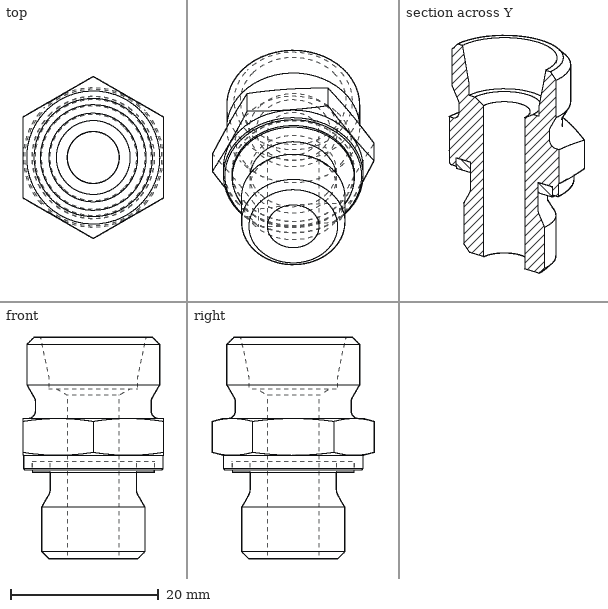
import cadquery as cq
import math

total_height = 30.0
shoulder_z = 12.0
hex_bottom_z = 14.0
hex_top_z = 19.0

stud_d = 14.0
stud_neck_d = 11.7
stud_chamfer = 1.0
stud_thread_top_z = 7.0
stud_neck_round = 1.5

port_d = 18.0
port_neck_d = 15.7
port_chamfer = 1.0
port_thread_bottom_z = 23.55
port_neck_round = 1.0
hex_fillet = 1.0
runout_angle = math.radians(30)

hex_across_flats = 19.0
hex_sides = 6
collar_d = 18.9
collar_chamfer = 0.2
hex_chamfer_angle = math.radians(15)

bore_d = 7.0
countersink_d = 10.0
socket_d = 12.0
socket_mouth_d = 14.3
socket_depth = 7.0
socket_cone_angle = math.radians(12)
countersink_half_angle = math.radians(60)

seal_d = 16.5
seal_seat_d = 16.6
seal_thickness = 1.5
seal_bottom_z = 11.7
seal_top_z = seal_bottom_z + seal_thickness


def tube(outer_d, inner_d, bottom_z, top_z):
    """Plain ring between two heights."""
    return (
        cq.Workplane("XY", origin=(0, 0, bottom_z))
        .circle(outer_d / 2)
        .circle(inner_d / 2)
        .extrude(top_z - bottom_z)
    )


def revolve_profile(profile):
    """Turn a closed profile, drawn as (radius, Z), about the Z axis."""
    return profile.close().revolve(360, (0, 0, 0), (0, 1, 0))


def runout_round(neck_r, corner_z, radius, direction):
    """Start, middle and end of the arc that blends a thread run-out cone into its neck.

    corner_z is where the cone would meet the neck; direction is +1 when the
    neck lies above the cone and -1 when it lies below.
    The arc is listed from the cone to the neck.
    """
    tangent_length = radius * math.tan(runout_angle / 2)
    center_r = neck_r + radius
    neck_z = corner_z + direction * tangent_length

    def arc_point(angle):
        return (
            center_r - radius * math.cos(angle),
            neck_z - direction * radius * math.sin(angle),
        )

    return arc_point(runout_angle), arc_point(runout_angle / 2), arc_point(0)


def turned_outline():
    """Stud, collar, hexagon core and tube-side thread as one turned solid."""
    stud_r = stud_d / 2
    stud_neck_r = stud_neck_d / 2
    port_r = port_d / 2
    port_neck_r = port_neck_d / 2
    collar_r = collar_d / 2

    stud_corner_z = stud_thread_top_z + (stud_r - stud_neck_r) / math.tan(runout_angle)
    port_corner_z = port_thread_bottom_z - (port_r - port_neck_r) / math.tan(runout_angle)
    stud_cone_end, stud_arc_mid, stud_neck_start = runout_round(
        stud_neck_r, stud_corner_z, stud_neck_round, 1
    )
    port_cone_end, port_arc_mid, port_neck_end = runout_round(
        port_neck_r, port_corner_z, port_neck_round, -1
    )
    fillet_mid_offset = hex_fillet * (1 - math.sqrt(0.5))

    profile = (
        cq.Workplane("XZ")
        .moveTo(0, 0)
        .lineTo(stud_r - stud_chamfer, 0)
        .lineTo(stud_r, stud_chamfer)
        .lineTo(stud_r, stud_thread_top_z)
        .lineTo(*stud_cone_end)
        .threePointArc(stud_arc_mid, stud_neck_start)
        .lineTo(stud_neck_r, shoulder_z)
        .lineTo(collar_r - collar_chamfer, shoulder_z)
        .lineTo(collar_r, shoulder_z + collar_chamfer)
        .lineTo(collar_r, hex_top_z)
        .lineTo(port_neck_r + hex_fillet, hex_top_z)
        .threePointArc(
            (port_neck_r + fillet_mid_offset, hex_top_z + fillet_mid_offset),
            (port_neck_r, hex_top_z + hex_fillet),
        )
        .lineTo(*port_neck_end)
        .threePointArc(port_arc_mid, port_cone_end)
        .lineTo(port_r, port_thread_bottom_z)
        .lineTo(port_r, total_height - port_chamfer)
        .lineTo(port_r - port_chamfer, total_height)
        .lineTo(0, total_height)
    )
    return revolve_profile(profile)


def chamfered_hexagon():
    """Hexagon with flats facing X, its corners turned off conically at both ends."""
    half_side_angle = 180 / hex_sides
    corner_r = hex_across_flats / 2 / math.cos(math.radians(half_side_angle))
    corner_drop = (corner_r - collar_d / 2) * math.tan(hex_chamfer_angle)
    prism = (
        cq.Workplane("XY", origin=(0, 0, hex_bottom_z))
        .polygon(hex_sides, 2 * corner_r)
        .extrude(hex_top_z - hex_bottom_z)
        .rotate((0, 0, 0), (0, 0, 1), half_side_angle)
    )
    envelope = revolve_profile(
        cq.Workplane("XZ")
        .moveTo(0, hex_bottom_z)
        .lineTo(collar_d / 2, hex_bottom_z)
        .lineTo(corner_r, hex_bottom_z + corner_drop)
        .lineTo(corner_r, hex_top_z - corner_drop)
        .lineTo(collar_d / 2, hex_top_z)
        .lineTo(0, hex_top_z)
    )
    return prism.intersect(envelope)


def bore_and_socket():
    """Through bore, countersink and tube socket with its tapered mouth."""
    socket_floor_z = total_height - socket_depth
    cone_height = (socket_mouth_d - socket_d) / 2 / math.tan(socket_cone_angle)
    countersink_depth = (countersink_d - bore_d) / 2 / math.tan(countersink_half_angle)
    profile = (
        cq.Workplane("XZ")
        .moveTo(0, 0)
        .lineTo(bore_d / 2, 0)
        .lineTo(bore_d / 2, socket_floor_z - countersink_depth)
        .lineTo(countersink_d / 2, socket_floor_z)
        .lineTo(socket_d / 2, socket_floor_z)
        .lineTo(socket_d / 2, total_height - cone_height)
        .lineTo(socket_mouth_d / 2, total_height)
        .lineTo(0, total_height)
    )
    return revolve_profile(profile)


seal_seat = tube(seal_seat_d, stud_neck_d, shoulder_z, seal_top_z)
fitting = turned_outline().union(chamfered_hexagon()).cut(bore_and_socket()).cut(seal_seat)

seal_ring = tube(seal_d, stud_neck_d, seal_bottom_z, seal_top_z)

result = cq.Compound.makeCompound([fitting.val(), seal_ring.val()])